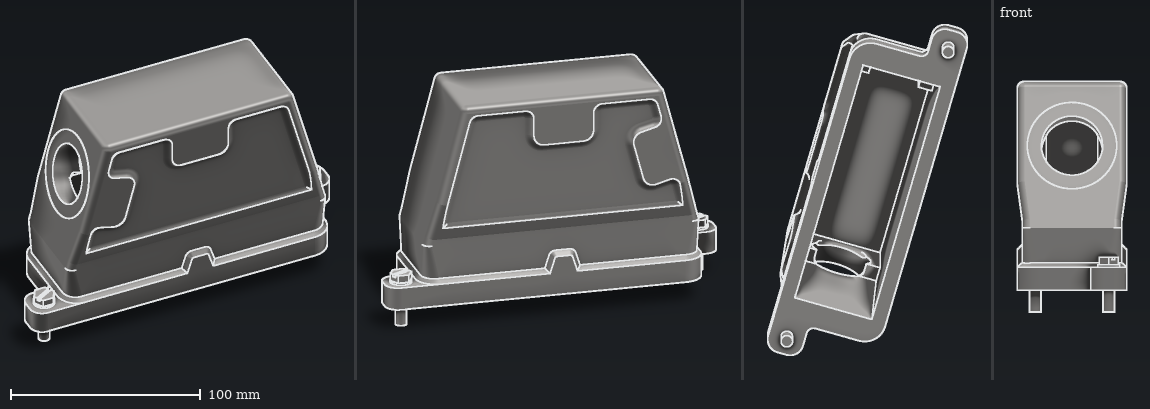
import cadquery as cq
import math

PLATE_TOP = 12.3
CHAMFER_TOP = 14.5
END_BEND_Z = 33.0
SIDE_BEND_LOW_Z = 36.5
SIDE_BEND_HIGH_Z = 56.3
HOOD_TOP = 110.4

NARROW_HALF_X = 26.3
WIDE_HALF_X = 29.0
HOOD_HALF_Y = 75.6
END_SLOPE = math.radians(15)
EDGE_RADIUS = 4.0
FOOT_CORNER_RADIUS = 8.6

PLATE_HALF_Y = 78.1
PLATE_CORNER_RADIUS = 11.3
EAR_WIDTH = 19.2
EAR_TIP_Y = 96.0
EAR_CORNER_RADIUS = 7.1
EAR_ROOT_RADIUS = 3.6

SCREW_X = 19.4
SCREW_Y = 86.5
PIN_RADIUS = 3.0
PIN_LENGTH = 11.5
WASHER_RADIUS = 5.8
WASHER_HEIGHT = 1.2
HEAD_FLATS = 10.2
HEAD_HEIGHT = 4.0
SLOT_WIDTH = 1.7
SLOT_DEPTH = 1.3
SLOT_ANGLE = -60

TAB_TOP_Z = 24.2
TAB_BASE_HALF_Y = 10.4
TAB_TOP_HALF_Y = 6.5
TAB_CORNER_RADIUS = 3.8

RECESS_FLOOR_X = 26.3
RECESS_WALL_RADIUS = 4.6
RECESS_CORNER_RADIUS = 5.2
FLOOR_BOTTOM_Z = 45.5
FLOOR_TOP_Z = 100.8
FLOOR_BOTTOM_HALF_Y = 62.2
LAND_WIDTH = 31.9
END_LAND_WIDTH = 30.3
LAND_DEPTH = 20.0
END_LAND_Z = 70.5
END_LAND_EDGE_Y = -41.5

ENTRY_Z = 76.5
ENTRY_RADIUS = 16.1
ENTRY_DEPTH = 26.9
SEAT_RADIUS = 23.6
SEAT_DEPTH = 0.2

END_WALL = 10.4
CAVITY_TOP = 102.7
CHAMBER_HALF_X = 21.1
UPPER_CHAMBER_HALF_Y = 49.5
CHANNEL_HALF_X = 13.6
CHANNEL_CORNER_RADIUS = 2.9
CAVITY_STEP_Z = 63.0
LOWER_CHAMBER_SLOPE = math.radians(7.5)


def end_half_length(z):
    """Half length of the hood along Y at height z on the sloping ends."""
    return HOOD_HALF_Y - (z - END_BEND_Z) * math.tan(END_SLOPE)


def trapezoid_along_x(low_z, low_half_y, high_z, high_half_y, half_x):
    """Prism across X whose length along Y changes from low_half_y to high_half_y."""
    outline = [
        (-low_half_y, low_z),
        (low_half_y, low_z),
        (high_half_y, high_z),
        (-high_half_y, high_z),
    ]
    return cq.Workplane("YZ").polyline(outline).close().extrude(half_x, both=True)


def make_plate():
    """Flange with one ear on the +X side of its -Y end and one diagonally opposite."""
    plate = (
        cq.Workplane("XY")
        .rect(2 * WIDE_HALF_X, 2 * PLATE_HALF_Y)
        .extrude(PLATE_TOP)
        .edges("|Z")
        .fillet(PLATE_CORNER_RADIUS)
    )
    inner_x = WIDE_HALF_X - EAR_WIDTH
    ear_tip = {1: "<Y", -1: ">Y"}
    for side in (1, -1):
        ear = (
            cq.Workplane("XY")
            .moveTo(side * (WIDE_HALF_X - EAR_WIDTH / 2), -side * EAR_TIP_Y / 2)
            .rect(EAR_WIDTH, EAR_TIP_Y)
            .extrude(PLATE_TOP)
            .edges("|Z")
            .edges(ear_tip[side])
            .fillet(EAR_CORNER_RADIUS)
        )
        root_x = inner_x - EAR_ROOT_RADIUS
        root_y = PLATE_HALF_Y + EAR_ROOT_RADIUS
        root = (
            cq.Workplane("XY")
            .moveTo(side * root_x, -side * PLATE_HALF_Y)
            .radiusArc((side * inner_x, -side * root_y), EAR_ROOT_RADIUS)
            .lineTo(side * inner_x, -side * PLATE_HALF_Y)
            .close()
            .extrude(PLATE_TOP)
        )
        plate = plate.union(ear).union(root)
    return plate


def rounded_rectangle(half_x, half_y, radius):
    """Sketch of a rectangle centred on the origin with four equal corner rounds."""
    return cq.Sketch().rect(2 * half_x, 2 * half_y).vertices().fillet(radius)


def make_foot():
    """Straight-sided lower hood whose corners tighten upward, and its chamfered ledge."""
    foot = (
        cq.Workplane("XY")
        .placeSketch(
            rounded_rectangle(NARROW_HALF_X, HOOD_HALF_Y, FOOT_CORNER_RADIUS),
            rounded_rectangle(NARROW_HALF_X, HOOD_HALF_Y, EDGE_RADIUS).moved(
                cq.Location(cq.Vector(0, 0, END_BEND_Z - PLATE_TOP))
            ),
        )
        .loft(ruled=True)
        .translate((0, 0, PLATE_TOP))
    )
    ledge_height = CHAMFER_TOP - PLATE_TOP
    ledge = (
        cq.Workplane("XY")
        .placeSketch(
            rounded_rectangle(WIDE_HALF_X, PLATE_HALF_Y, PLATE_CORNER_RADIUS),
            rounded_rectangle(NARROW_HALF_X, HOOD_HALF_Y, FOOT_CORNER_RADIUS).moved(
                cq.Location(cq.Vector(0, 0, ledge_height))
            ),
        )
        .loft(ruled=True)
        .translate((0, 0, PLATE_TOP))
    )
    return foot.union(ledge)


def make_upper_hood():
    """Hood above the foot: widening section, sloping ends, rounded ends and top edges."""
    half_section = [
        (NARROW_HALF_X, END_BEND_Z),
        (NARROW_HALF_X, SIDE_BEND_LOW_Z),
        (WIDE_HALF_X, SIDE_BEND_HIGH_Z),
        (WIDE_HALF_X, HOOD_TOP),
    ]
    mirrored = [(-x, z) for x, z in reversed(half_section)]
    section = (
        cq.Workplane("XZ").polyline(half_section + mirrored).close().extrude(HOOD_HALF_Y, both=True)
    )
    top_half_y = end_half_length(HOOD_TOP)
    side_profile = trapezoid_along_x(END_BEND_Z, HOOD_HALF_Y, HOOD_TOP, top_half_y, WIDE_HALF_X)
    hood = section.intersect(side_profile)
    return hood.edges("(>Z) or (not (|X or |Y))").fillet(EDGE_RADIUS)


def make_side_tab():
    """Trapezoid on the -X side of the foot, its flanks and top chamfered back to the foot."""
    root_z = PLATE_TOP / 2
    flank = (TAB_BASE_HALF_Y - TAB_TOP_HALF_Y) / (TAB_TOP_Z - PLATE_TOP)
    root_half_y = TAB_BASE_HALF_Y + flank * (PLATE_TOP - root_z)
    block = trapezoid_along_x(root_z, root_half_y, TAB_TOP_Z, TAB_TOP_HALF_Y, WIDE_HALF_X)
    block = block.edges("|X and >Z").fillet(TAB_CORNER_RADIUS)
    block = block.faces("<X").edges("not <Z").chamfer(WIDE_HALF_X - NARROW_HALF_X)
    opposite_half = cq.Workplane("XY").box(
        WIDE_HALF_X, HOOD_HALF_Y, HOOD_TOP, centered=(False, True, False)
    )
    return block.cut(opposite_half)


def make_recess():
    """Cutter for the -X side: a trapezoid with a rounded floor edge around two lands."""
    depth = 2 * RECESS_WALL_RADIUS
    bottom_z = FLOOR_BOTTOM_Z - RECESS_WALL_RADIUS
    top_z = FLOOR_TOP_Z + RECESS_WALL_RADIUS
    wall_half_y = FLOOR_BOTTOM_HALF_Y + RECESS_WALL_RADIUS / math.cos(END_SLOPE)

    def half_y(z):
        return wall_half_y - (z - FLOOR_BOTTOM_Z) * math.tan(END_SLOPE)

    top_land = trapezoid_along_x(0, LAND_WIDTH / 2, 2 * LAND_DEPTH, LAND_WIDTH / 2, depth)
    end_land = trapezoid_along_x(0, END_LAND_WIDTH / 2, 2 * LAND_DEPTH, END_LAND_WIDTH / 2, depth)
    top_land = top_land.translate((0, 0, top_z - LAND_DEPTH))
    end_land = end_land.rotate((0, 0, 0), (1, 0, 0), 90 - math.degrees(END_SLOPE)).translate(
        (0, END_LAND_EDGE_Y, END_LAND_Z)
    )
    recess = trapezoid_along_x(bottom_z, half_y(bottom_z), top_z, half_y(top_z), depth / 2)
    recess = recess.translate((-depth / 2, 0, 0))
    recess = recess.cut(top_land).cut(end_land)
    recess = recess.edges("|X and (not <Z)").fillet(RECESS_CORNER_RADIUS)
    recess = recess.faces(">X").edges().fillet(RECESS_WALL_RADIUS)
    return recess.translate((-RECESS_FLOOR_X, 0, 0))


def make_cavity():
    """Wide lower chamber open below, wide upper chamber, and a narrow channel to both end walls."""
    wall_along_y = END_WALL / math.cos(END_SLOPE)
    step_half_y = end_half_length(CAVITY_STEP_Z) - wall_along_y
    top_half_y = end_half_length(CAVITY_TOP) - wall_along_y
    mouth_half_y = step_half_y + CAVITY_STEP_Z * math.tan(LOWER_CHAMBER_SLOPE)

    lower = trapezoid_along_x(0, mouth_half_y, CAVITY_STEP_Z, step_half_y, CHAMBER_HALF_X)
    upper = trapezoid_along_x(
        CAVITY_STEP_Z, UPPER_CHAMBER_HALF_Y, CAVITY_TOP, UPPER_CHAMBER_HALF_Y, CHAMBER_HALF_X
    )
    channel = trapezoid_along_x(CAVITY_STEP_Z, step_half_y, CAVITY_TOP, top_half_y, CHANNEL_HALF_X)
    channel = channel.edges("not (|X or |Y)").fillet(CHANNEL_CORNER_RADIUS)
    return lower.union(upper).union(channel)


def make_cable_entry():
    """Bore and shallow seat, square to the sloping -Y end."""
    face = cq.Plane(
        origin=(0, -end_half_length(ENTRY_Z), ENTRY_Z),
        xDir=(1, 0, 0),
        normal=(0, -math.cos(END_SLOPE), math.sin(END_SLOPE)),
    )
    bore = cq.Workplane(face).circle(ENTRY_RADIUS).extrude(-ENTRY_DEPTH)
    seat = cq.Workplane(face).circle(SEAT_RADIUS).extrude(-SEAT_DEPTH)
    return bore.union(seat)


def make_screw():
    """Slotted hexagon screw with a washer, standing on the flange at the origin."""
    head_top = PLATE_TOP + WASHER_HEIGHT + HEAD_HEIGHT
    corner_diameter = HEAD_FLATS / math.cos(math.pi / 6)
    pin = cq.Workplane("XY").workplane(offset=-PIN_LENGTH).circle(PIN_RADIUS).extrude(PIN_LENGTH + PLATE_TOP)
    washer = cq.Workplane("XY").workplane(offset=PLATE_TOP).circle(WASHER_RADIUS).extrude(WASHER_HEIGHT)
    head = (
        cq.Workplane("XY")
        .workplane(offset=head_top)
        .transformed(rotate=(0, 0, 90))
        .polygon(6, corner_diameter)
        .extrude(-HEAD_HEIGHT)
    )
    slot = (
        cq.Workplane("XY")
        .workplane(offset=head_top)
        .transformed(rotate=(0, 0, SLOT_ANGLE))
        .rect(2 * corner_diameter, SLOT_WIDTH)
        .extrude(-SLOT_DEPTH)
    )
    return pin.union(washer).union(head).cut(slot)


side_tab = make_side_tab()
recess = make_recess()
screw = make_screw()

hood = make_plate().union(make_foot()).union(make_upper_hood())
hood = hood.union(side_tab).union(side_tab.mirror("YZ"))
hood = hood.cut(recess).cut(recess.mirror("YZ"))
hood = hood.cut(make_cavity()).cut(make_cable_entry())
for side in (1, -1):
    hood = hood.union(screw.translate((side * SCREW_X, -side * SCREW_Y, 0)))

result = hood